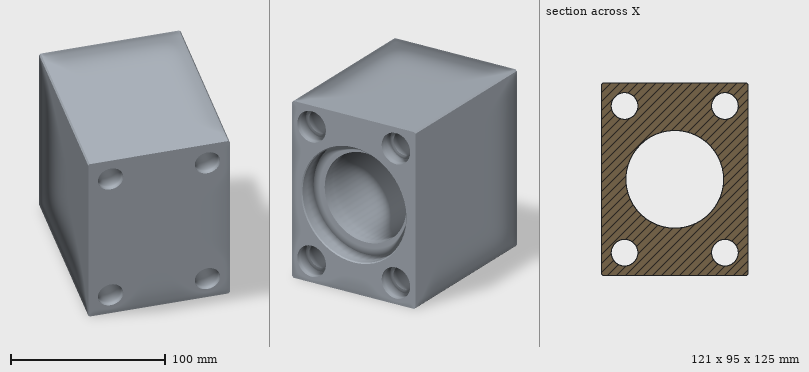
import cadquery as cq

LENGTH_X = 121.0
WIDTH_Y = 95.0
HEIGHT_Z = 125.0
EDGE_CHAMFER = 1.0

BORE_DIAMETER = 63.0
BORE_FLOOR_THICKNESS = 20.0
MOUTH_DIAMETER = 80.0
MOUTH_DEPTH = 14.0
MOUTH_CHAMFER = 0.7

HOLE_SPACING_Y = 65.0
HOLE_SPACING_Z = 95.0
HOLE_DIAMETER = 17.0
COUNTERBORE_DIAMETER = 22.0
COUNTERBORE_DEPTH = 10.3

ENTRY_X = -LENGTH_X / 2


def cylinder_from_entry(diameter, depth, y=0.0, z=0.0):
    """Cylinder running in +X from the entry face at the given Y and Z."""
    face = cq.Workplane("YZ", origin=(ENTRY_X, y, z))
    return face.circle(diameter / 2).extrude(depth)


def make_block():
    """Rectangular block with its four long edges chamfered."""
    block = cq.Workplane("XY").box(LENGTH_X, WIDTH_Y, HEIGHT_Z)
    return block.edges("|X").chamfer(EDGE_CHAMFER)


def make_bore():
    """Blind bore, wide mouth and the small chamfer around the mouth."""
    bore = cylinder_from_entry(BORE_DIAMETER, LENGTH_X - BORE_FLOOR_THICKNESS)
    mouth = cylinder_from_entry(MOUTH_DIAMETER, MOUTH_DEPTH)
    mouth_radius = MOUTH_DIAMETER / 2
    rim = cq.Workplane("YZ", origin=(ENTRY_X, 0, 0)).circle(mouth_radius + MOUTH_CHAMFER)
    rim = rim.workplane(offset=MOUTH_CHAMFER).circle(mouth_radius).loft()
    return bore.union(mouth).union(rim)


def make_mounting_hole(y, z):
    """Through hole with a counterbore on the entry face."""
    hole = cylinder_from_entry(HOLE_DIAMETER, LENGTH_X, y, z)
    counterbore = cylinder_from_entry(COUNTERBORE_DIAMETER, COUNTERBORE_DEPTH, y, z)
    return hole.union(counterbore)


result = make_block().cut(make_bore())
for side_y in (-1, 1):
    for side_z in (-1, 1):
        hole_y = side_y * HOLE_SPACING_Y / 2
        hole_z = side_z * HOLE_SPACING_Z / 2
        result = result.cut(make_mounting_hole(hole_y, hole_z))